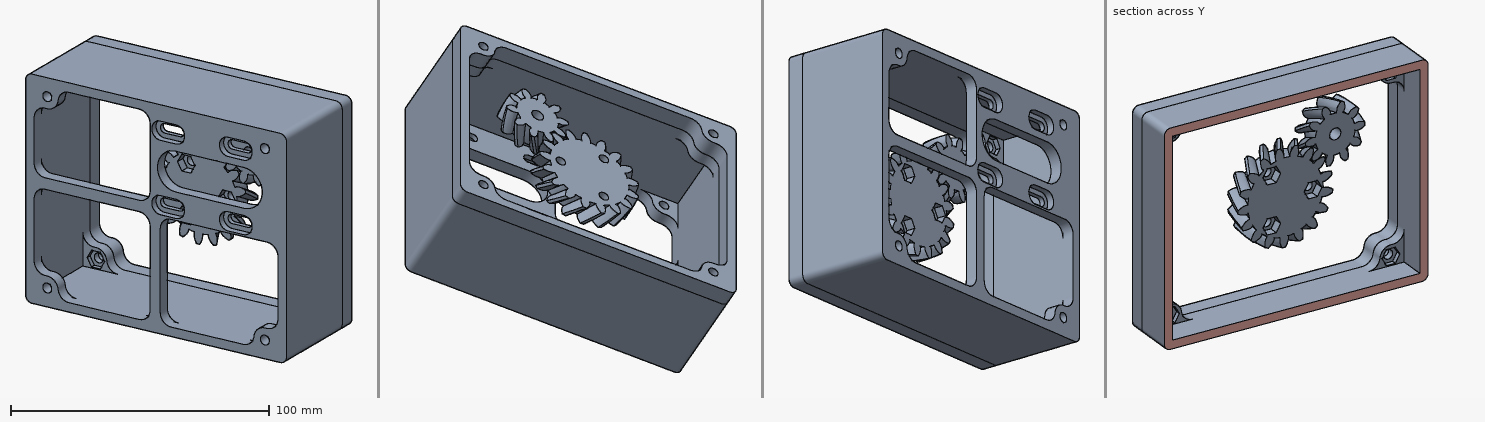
import cadquery as cq
import math

width = 120.0
depth = 47.0
height = 95.8
corner_radius = 3.0
wall = 4.0
lid_depth = 7.0
front_plate = 5.2
nut_pad = 5.0

front_y = -depth / 2
rear_y = depth / 2
seam_y = rear_y - lid_depth
inner_x = width / 2 - wall
inner_z = height / 2 - wall

screw_x = 50.0
screw_z = 40.0
screw_diameter = 4.1
boss_radius = 5.0
fillet_radius = 5.0

post_left = -2.8
post_right = 1.9
rail_bottom = 1.1
rail_top = 5.9

mount_x = 21.1
mount_z = 21.5
mount_pitch = 31.1
mount_travel = 7.0
mount_slot_width = 4.0
mount_recess_width = 8.0
mount_recess_depth = 3.0
collar_slot_x = 24.7
collar_slot_width = 17.0
collar_slot_travel = 31.1

nut_flats = 7.0
corner_nut_depth = 2.0
gear_nut_depth = 4.0

helix_angle = math.radians(30)
pressure_angle = math.radians(20)
wheel_teeth = 17
pinion_teeth = 10
gear_thickness = 8.0
gear_front_y = 7.9
wheel_phase = -92.1
backlash_degrees = 0.5
bolt_circle_radius = 12.5
bolt_count = 3
bolt_diameter = 4.1
pinion_bore = 5.0

pinion_x = 22.5
pinion_z = mount_z
center_distance = math.hypot(pinion_x, pinion_z)
transverse_module = 2 * center_distance / (wheel_teeth + pinion_teeth)
normal_module = transverse_module * math.cos(helix_angle)
transverse_pressure = math.atan(math.tan(pressure_angle) / math.cos(helix_angle))
addendum = normal_module
dedendum = 1.25 * normal_module
gear_rear_y = gear_front_y + gear_thickness


def front_plane(y):
    """Plane parallel to the front face at y, with its normal toward -Y."""
    return cq.Workplane("XZ", origin=(0, y, 0))


def slab(x0, x1, z0, z1, y0, y1):
    """Block between two corners."""
    return cq.Workplane("XY").box(x1 - x0, y1 - y0, z1 - z0, centered=False).translate((x0, y0, z0))


def rod(x, z, diameter, y0, y1):
    """Cylinder along Y."""
    return front_plane(y1).center(x, z).circle(diameter / 2).extrude(y1 - y0)


def slot(x, z, travel, slot_width, y0, y1):
    """Round-ended slot along X, cut from y0 to y1."""
    return front_plane(y1).center(x, z).slot2D(travel + slot_width, slot_width).extrude(y1 - y0)


def hexagon(x, z, flats, y0, y1):
    """Hexagonal prism along Y with two flats level."""
    across_corners = flats / math.cos(math.pi / 6)
    return front_plane(y1).center(x, z).polygon(6, across_corners).extrude(y1 - y0)


screw_points = [(sx * screw_x, sz * screw_z) for sx in (-1, 1) for sz in (-1, 1)]


def outer_block(y0, y1):
    """Enclosure outline with rounded corners."""
    return slab(-width / 2, width / 2, -height / 2, height / 2, y0, y1).edges("|Y").fillet(corner_radius)


def opening(x0, x1, z0, z1, y0, y1):
    """Opening that leaves a rounded boss around each corner screw it meets."""
    space = slab(x0, x1, z0, z1, y0, y1)
    for x, z in screw_points:
        if x0 < x < x1 and z0 < z < z1:
            side = math.copysign(1, x)
            end = math.copysign(1, z)
            pad_x = sorted((x, side * inner_x))
            pad_z = sorted((z - end * boss_radius, end * inner_z))
            space = space.cut(slab(*pad_x, *pad_z, y0, y1))
            space = space.cut(rod(x, z, 2 * boss_radius, y0, y1))
    reach = 0.1
    sharp = [
        edge for edge in space.edges("|Y").vals()
        if not any(
            math.hypot(edge.Center().x - x, edge.Center().z - z) < boss_radius + reach
            and abs(edge.Center().x - x) < reach
            for x, z in screw_points
        )
    ]
    return space.newObject(sharp).fillet(fillet_radius)


def make_housing():
    body = outer_block(front_y, seam_y)
    plate_back = front_y + front_plate
    pad_front = seam_y - nut_pad
    body = body.cut(slab(-inner_x, inner_x, -inner_z, inner_z, plate_back, pad_front))
    body = body.cut(opening(-inner_x, inner_x, -inner_z, inner_z, pad_front, seam_y))

    for window in (
        (-inner_x, post_left, rail_top, inner_z),
        (-inner_x, post_left, -inner_z, rail_bottom),
        (post_right, inner_x, -inner_z, rail_bottom),
    ):
        body = body.cut(opening(*window, front_y, plate_back))

    recess_back = front_y + mount_recess_depth
    for sx in (-1, 1):
        for sz in (-1, 1):
            x = mount_x + sx * mount_pitch / 2
            z = mount_z + sz * mount_pitch / 2
            body = body.cut(slot(x, z, mount_travel, mount_slot_width, front_y, plate_back))
            body = body.cut(slot(x, z, mount_travel, mount_recess_width, front_y, recess_back))
    body = body.cut(
        slot(collar_slot_x, mount_z, collar_slot_travel, collar_slot_width, front_y, plate_back)
    )

    for x, z in screw_points:
        body = body.cut(rod(x, z, screw_diameter, front_y, seam_y))
        body = body.cut(hexagon(x, z, nut_flats, pad_front, pad_front + corner_nut_depth))
    return body


def make_lid():
    body = outer_block(seam_y, rear_y)
    body = body.cut(opening(-inner_x, inner_x, -inner_z, inner_z, seam_y, rear_y))
    for x, z in screw_points:
        body = body.cut(rod(x, z, screw_diameter, seam_y, rear_y))
    return body


def helical_gear(teeth, front_angle, hand):
    """Involute gear on the Y axis; hand is +1 when the teeth turn clockwise toward +Y, seen from -Y."""
    pitch_radius = transverse_module * teeth / 2
    base_radius = pitch_radius * math.cos(transverse_pressure)
    tip_radius = pitch_radius + addendum
    root_radius = pitch_radius - dedendum
    twist = hand * math.degrees(gear_thickness * math.tan(helix_angle) / pitch_radius)

    def involute(angle):
        return math.tan(angle) - angle

    pitch_half = math.pi / (2 * teeth) - math.radians(backlash_degrees) * wheel_teeth / teeth / 2
    base_half = pitch_half + involute(transverse_pressure)

    def half_angle(radius):
        return base_half - involute(math.acos(base_radius / radius))

    def point(radius, angle):
        return (radius * math.cos(angle), radius * math.sin(angle))

    flank_steps = 5
    radii = [base_radius + (tip_radius - base_radius) * i / flank_steps for i in range(flank_steps + 1)]
    pitch_angle = 2 * math.pi / teeth
    rear_angle = math.radians(front_angle - twist)
    outline = front_plane(gear_rear_y)
    outline = outline.moveTo(*point(root_radius, rear_angle - base_half))
    for tooth in range(teeth):
        middle = rear_angle + tooth * pitch_angle
        rising = [point(r, middle - half_angle(r)) for r in radii]
        falling = [point(r, middle + half_angle(r)) for r in reversed(radii)]
        outline = outline.lineTo(*rising[0]).spline(rising[1:], includeCurrent=True)
        outline = outline.threePointArc(point(tip_radius, middle), falling[0])
        outline = outline.spline(falling[1:], includeCurrent=True)
        outline = outline.lineTo(*point(root_radius, middle + base_half))
        gap_middle = point(root_radius, middle + pitch_angle / 2)
        if tooth < teeth - 1:
            outline = outline.threePointArc(gap_middle, point(root_radius, middle + pitch_angle - base_half))
        else:
            outline = outline.threePointArc(gap_middle, point(root_radius, rear_angle - base_half))
    return outline.close().twistExtrude(gear_thickness, twist)


def make_wheel():
    wheel = helical_gear(wheel_teeth, wheel_phase, 1)
    for i in range(bolt_count):
        angle = 2 * math.pi * i / bolt_count
        x = bolt_circle_radius * math.cos(angle)
        z = bolt_circle_radius * math.sin(angle)
        wheel = wheel.cut(rod(x, z, bolt_diameter, gear_front_y, gear_rear_y))
        wheel = wheel.cut(hexagon(x, z, nut_flats, gear_front_y, gear_front_y + gear_nut_depth))
    return wheel


def make_pinion():
    line_angle = math.degrees(math.atan2(pinion_z, pinion_x))
    wheel_gap = wheel_phase + 180 / wheel_teeth
    phase = line_angle + 180 + (line_angle - wheel_gap) * wheel_teeth / pinion_teeth
    pinion = helical_gear(pinion_teeth, phase, -1)
    pinion = pinion.cut(rod(0, 0, pinion_bore, gear_front_y, gear_rear_y))
    return pinion.translate((pinion_x, 0, pinion_z))


housing = make_housing()
lid = make_lid()
wheel = make_wheel()
pinion = make_pinion()

result = cq.Compound.makeCompound([housing.val(), lid.val(), wheel.val(), pinion.val()])